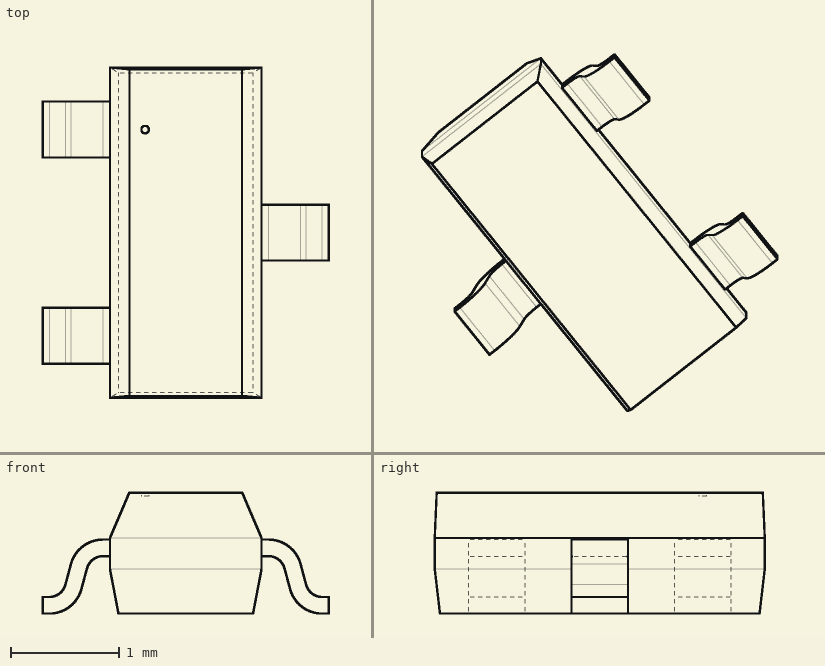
import cadquery as cq
import math

overall_width = 2.64
body_length = 3.05
body_height = 1.12

band_width = 1.403
band_bottom = 0.415
band_top = 0.698
top_width = 1.043
bottom_width = 1.245
top_end_inset = 0.018
bottom_end_inset = 0.05

lead_width = 0.52
lead_thickness = 0.155
lead_top = 0.685
lead_pitch = 1.903
foot_flat = 0.06
bend_inner_radius = 0.152
bend_angle = math.radians(75)

marker_diameter = 0.07
marker_depth = 0.03
marker_x = -0.375
marker_y = lead_pitch / 2


def make_tapered_block(z_start, start_size, z_end, end_size):
    """Loft between two centred rectangles at the given heights."""
    return (
        cq.Workplane("XY", origin=(0, 0, z_start))
        .rect(*start_size)
        .workplane(offset=z_end - z_start)
        .rect(*end_size)
        .loft(ruled=True)
    )


def make_marker():
    return (
        cq.Workplane("XY", origin=(marker_x, marker_y, body_height - marker_depth))
        .circle(marker_diameter / 2)
        .extrude(marker_depth)
    )


def make_housing():
    band_size = (band_width, body_length)
    top_size = (top_width, body_length - 2 * top_end_inset)
    bottom_size = (bottom_width, body_length - 2 * bottom_end_inset)
    lower_cap = make_tapered_block(0, bottom_size, band_bottom, band_size)
    band = make_tapered_block(band_bottom, band_size, band_top, band_size)
    upper_cap = make_tapered_block(band_top, band_size, body_height, top_size)
    return lower_cap.union(band).union(upper_cap).cut(make_marker())


def point_on_bend(center, radius, angle):
    """Point at an angle measured from the +X direction."""
    return (center[0] + radius * math.cos(angle), center[1] + radius * math.sin(angle))


def make_lead(y_center, side):
    """S-shaped lead on the +X side (side = 1) or its mirror on the -X side (side = -1)."""
    root_x = band_width / 2
    tip_x = overall_width / 2
    outer_radius = bend_inner_radius + lead_thickness
    middle_radius = bend_inner_radius + lead_thickness / 2

    bend_drop = 2 * middle_radius * (1 - math.cos(bend_angle))
    slope_drop = lead_top - lead_thickness - bend_drop
    bend_run = 2 * middle_radius * math.sin(bend_angle) + slope_drop / math.tan(bend_angle)

    foot_bend_x = tip_x - foot_flat
    shoulder = (foot_bend_x - bend_run, lead_top - outer_radius)
    heel = (foot_bend_x, outer_radius)

    shoulder_start = math.pi / 2
    shoulder_end = shoulder_start - bend_angle
    shoulder_middle = shoulder_start - bend_angle / 2
    heel_start = shoulder_end + math.pi
    heel_end = shoulder_start + math.pi
    heel_middle = shoulder_middle + math.pi

    profile = (
        cq.Workplane("XZ", origin=(0, y_center + lead_width / 2, 0))
        .moveTo(root_x, lead_top)
        .lineTo(shoulder[0], lead_top)
        .threePointArc(
            point_on_bend(shoulder, outer_radius, shoulder_middle),
            point_on_bend(shoulder, outer_radius, shoulder_end),
        )
        .lineTo(*point_on_bend(heel, bend_inner_radius, heel_start))
        .threePointArc(
            point_on_bend(heel, bend_inner_radius, heel_middle),
            point_on_bend(heel, bend_inner_radius, heel_end),
        )
        .lineTo(tip_x, lead_thickness)
        .lineTo(tip_x, 0)
        .lineTo(heel[0], 0)
        .threePointArc(
            point_on_bend(heel, outer_radius, heel_middle),
            point_on_bend(heel, outer_radius, heel_start),
        )
        .lineTo(*point_on_bend(shoulder, bend_inner_radius, shoulder_end))
        .threePointArc(
            point_on_bend(shoulder, bend_inner_radius, shoulder_middle),
            point_on_bend(shoulder, bend_inner_radius, shoulder_start),
        )
        .lineTo(root_x, lead_top - lead_thickness)
        .close()
    )
    lead = profile.extrude(lead_width)
    return lead if side > 0 else lead.mirror("YZ")


housing = make_housing()
marker = make_marker()

lead_places = [(-lead_pitch / 2, -1), (lead_pitch / 2, -1), (0, 1)]
leads = [make_lead(y_center, side) for y_center, side in lead_places]

result = cq.Compound.makeCompound([housing.val(), marker.val(), *[lead.val() for lead in leads]])